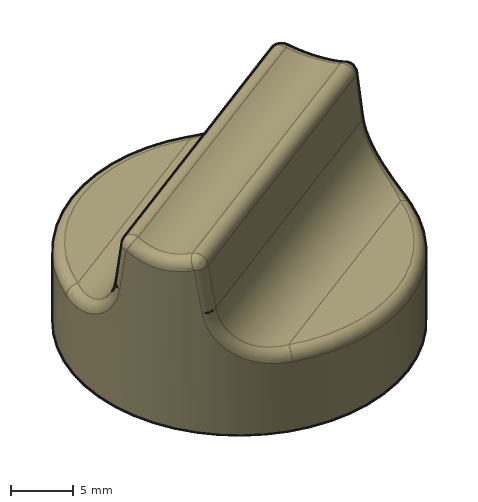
import cadquery as cq
import math

knob_diameter = 30.0
base_height = 8.0
corner_height = 18.0
dish_bottom = 16.8
root_radius = 5.0
root_start = 9.35
wall_draft = math.radians(8)
edge_radius = 1.0

knob_radius = knob_diameter / 2


def root_point(angle):
    """Point on the right root sweep, at an angle from +X about the sweep center."""
    return (
        root_start + root_radius * math.cos(angle),
        base_height + root_radius + root_radius * math.sin(angle),
    )


def mirrored(point):
    return (-point[0], point[1])


def make_profile():
    """Closed XZ outline: flat shoulders, root sweeps, drafted walls and dished top."""
    shoulder_angle = 1.5 * math.pi
    wall_angle = math.pi + wall_draft
    shoulder_end = root_point(shoulder_angle)
    root_middle = root_point((shoulder_angle + wall_angle) / 2)
    wall_foot = root_point(wall_angle)
    corner_x = wall_foot[0] - (corner_height - wall_foot[1]) * math.tan(wall_draft)
    corner = (corner_x, corner_height)

    return (
        cq.Workplane("XZ")
        .moveTo(-knob_radius, 0)
        .lineTo(knob_radius, 0)
        .lineTo(knob_radius, base_height)
        .lineTo(*shoulder_end)
        .threePointArc(root_middle, wall_foot)
        .lineTo(*corner)
        .threePointArc((0, dish_bottom), mirrored(corner))
        .lineTo(*mirrored(wall_foot))
        .threePointArc(mirrored(root_middle), mirrored(shoulder_end))
        .lineTo(-knob_radius, base_height)
        .close()
    )


def make_body():
    """Profile extended along Y and trimmed to the round outline of the knob."""
    grip = make_profile().extrude(knob_radius, both=True)
    cylinder = cq.Workplane("XY").circle(knob_radius).extrude(corner_height)
    return cylinder.intersect(grip)


def round_upper_edges(body):
    """Round the rim of the top surfaces and both long corners of the grip."""
    curved_edges = body.edges("not |Z").edges("not |Y").vals()
    rim_edges = [edge for edge in curved_edges if edge.Center().z > base_height / 2]
    corner_edges = body.edges("|Y").edges(">Z").vals()
    return body.newObject(rim_edges + corner_edges).fillet(edge_radius)


result = round_upper_edges(make_body())